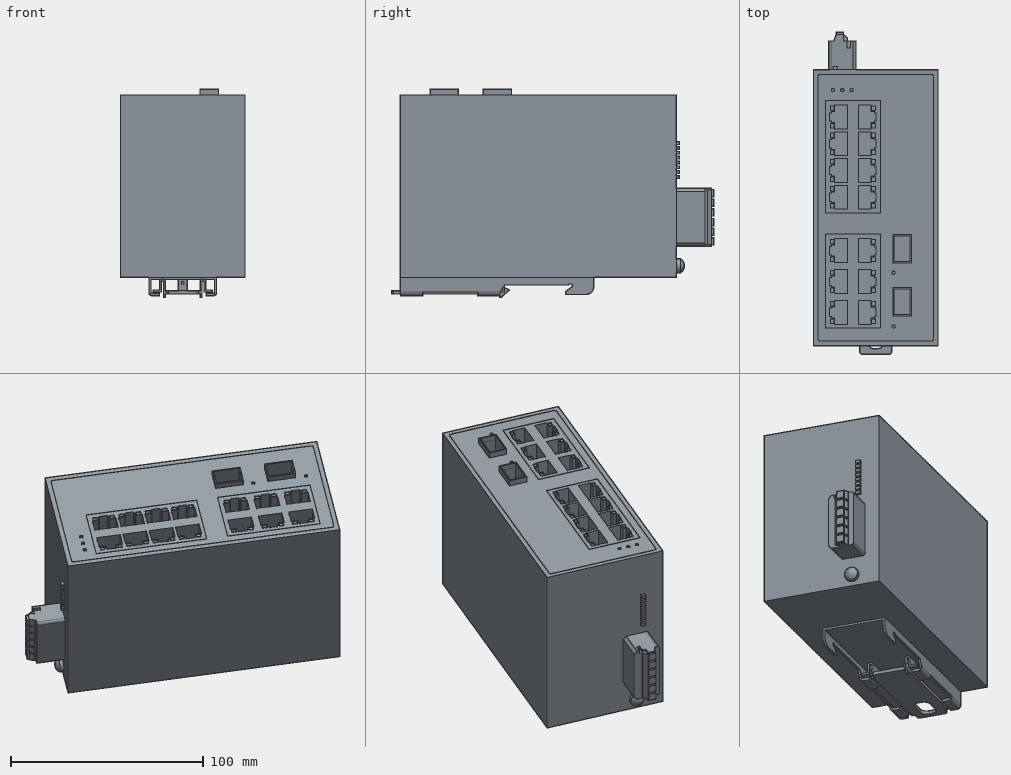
import cadquery as cq


WIDTH = 65.0
LENGTH = 143.6
HEIGHT = 94.7
PANEL_INSET = 2.5
PANEL_CORNER_R = 1.2
FACE_STEP = 0.2

COLUMN_X = -11.9
BLOCK_WIDTH = 28.5
PORT_DEPTH = 16.7
PORT_INNER = 2.8
PORT_SHOULDER = 9.5
PORT_MIDDLE = 11.2
PORT_OUTER = 12.0
PORT_HALF = 6.2
PORT_MIDDLE_HALF = 2.8
PORT_OUTER_HALF = 2.2
LAMP_X = 10.7
LAMP_Y = 4.5
LAMP_SIZE_X = 1.8
LAMP_SIZE_Y = 2.3
LAMP_DEPTH = 0.5
PORT_BLOCKS = [
    (69.1, 127.5, 98.1, 13.9, 4),
    (9.2, 58.0, 33.5, 16.0, 3),
]

CAGE_X = 13.7
CAGE_YS = (50.5, 23.0)
CAGE_WIDTH = 9.7
CAGE_LENGTH = 14.7
CAGE_RISE = 3.0
CAGE_WALL = 0.7
CAGE_DEPTH = 16.7
INDICATOR_D = 1.7
INDICATOR_DEPTH = 0.8
STATUS_PITCH = 4.9
STATUS_Y = 132.9
STATUS_MID_X = -17.4
CAGE_INDICATORS = [(9.2, 38.0), (9.2, 10.0)]
INDICATORS = [(STATUS_MID_X + i * STATUS_PITCH, STATUS_Y) for i in (-1, 0, 1)] + CAGE_INDICATORS

PLUG_X0 = -24.5
PLUG_X1 = -10.2
PLUG_Z0 = 16.0
PLUG_HEIGHT = 30.3
PLUG_END_Y = 158.5
PLUG_EDGE_R = 1.3
PLUG_CHAMFER = 1.7
RIDGE_END_Y = 161.9
RIDGE_FOOT_X0 = -21.6
RIDGE_TOP_X0 = -20.6
RIDGE_TOP_X1 = -16.7
RAMP_END_X = -14.5
RAMP_LOW_Y = 159.8
RAMP_INSET = 1.0
POLES = 6
POLE_PITCH = 5.0
TIP_HEIGHT = 3.8
TIP_END_Y = 163.0
SLOT_WIDTH = 0.8
SLOT_START_Y = 159.2
KEY_X = -14.0
KEY_WIDTH = 1.7
KEY_LENGTH = 3.7
KEY_DEPTH = 1.7

LEVER_COUNT = 8
LEVER_PITCH = 2.5
LEVER_X = -21.1
LEVER_MID_Z = 61.0
LEVER_WIDTH = 2.3
LEVER_HEIGHT = 1.5
LEVER_LENGTH = 1.7
SCREW_X = -17.4
SCREW_Z = 6.0
SCREW_R = 3.7
SCREW_RIM = 2.0
SCREW_RISE = 4.2

SHEET = 1.2
BRACKET_HALF = 17.5
BRACKET_START_Y = 0.2
HOOK_END_Y = 100.8
HOOK_Z = -9.0
HOOK_R = 4.4
HOOK_TIP_Y = 86.0
HOOK_TIP_Z = -7.4
HOOK_THROAT_Y = 89.4
HOOK_THROAT_Z = -4.9
RELIEF_Y = 87.7
RELIEF_Z = -3.5
RAIL_START_Y = 54.4
RAIL_TOP_Z = -4.0
SKIRT_Z = -7.5
SKIRT_END_Y = 52.0
FOOT_Z = -9.7
FOOT_LENGTH = 11.7
FOOT_INNER_X = 12.0
FOOT_HEIGHT = 1.5
FOOT_BEND_R = 2.0
POST_WIDTH = 4.9
POST_Y = 25.1
PIN_D = 1.5
PIN_Z = -2.8
PIN_LENGTH = 1.2

LATCH_BOTTOM_Z = -8.7
LATCH_SHEET = 1.8
LATCH_TOP_Z = -1.0
LATCH_LENGTH = 54.4
LEG_INNER_X = 9.0
LEG_OUTER_X = 12.0
LEG_SHEET = 1.09
RUNNER_X = 15.4
RUNNER_Z = -7.7
TAB_REACH = 4.4
TAB_HALF = 8.4
TAB_CORNER = 1.0
PULL_HALF = 4.4
PULL_Y0 = -1.3
PULL_Y1 = 13.4
PULL_R = 3.3
CATCH_BOTTOM_Z = -10.4
CATCH_TOP_Z = -5.4
CATCH_BACK_Y = 51.7
CATCH_FLAT = 1.0
CATCH_TIP_Y = 56.9
CATCH_TIP_Z = -6.5


def box(x0, x1, y0, y1, z0, z1):
    """Box between two opposite corners."""
    return cq.Workplane("XY").box(x1 - x0, y1 - y0, z1 - z0, centered=False).translate((x0, y0, z0))


def box_at(x, y, size_x, size_y, z0, z1):
    """Box centred on (x, y), from z0 to z1."""
    return box(x - size_x / 2, x + size_x / 2, y - size_y / 2, y + size_y / 2, z0, z1)


def both_sides(shape):
    """The shape together with its mirror image across X = 0."""
    return shape.union(shape.mirror("YZ"))


def port_cut(y, side):
    """Stepped port opening and its two lamp windows; side is -1 or 1 from the column mirror line."""
    steps = [
        (PORT_INNER, PORT_HALF),
        (PORT_SHOULDER, PORT_HALF),
        (PORT_SHOULDER, PORT_MIDDLE_HALF),
        (PORT_MIDDLE, PORT_MIDDLE_HALF),
        (PORT_MIDDLE, PORT_OUTER_HALF),
        (PORT_OUTER, PORT_OUTER_HALF),
    ]
    upper = [(COLUMN_X + side * dx, y + dy) for dx, dy in steps]
    lower = [(COLUMN_X + side * dx, y - dy) for dx, dy in reversed(steps)]
    cut = (
        cq.Workplane("XY").workplane(offset=HEIGHT - PORT_DEPTH)
        .polyline(upper + lower).close().extrude(PORT_DEPTH)
    )
    floor = HEIGHT - 2 * FACE_STEP - LAMP_DEPTH
    for end in (-1, 1):
        lamp_x = COLUMN_X + side * LAMP_X
        cut = cut.union(box_at(lamp_x, y + end * LAMP_Y, LAMP_SIZE_X, LAMP_SIZE_Y, floor, HEIGHT))
    return cut


def make_housing():
    body = box(-WIDTH / 2, WIDTH / 2, 0, LENGTH, 0, HEIGHT)
    panel = box_at(
        0, LENGTH / 2, WIDTH - 2 * PANEL_INSET, LENGTH - 2 * PANEL_INSET, HEIGHT - FACE_STEP, HEIGHT
    )
    body = body.cut(panel.edges("|Z").fillet(PANEL_CORNER_R))
    for y0, y1, mid_y, pitch, rows in PORT_BLOCKS:
        body = body.cut(
            box_at(COLUMN_X, (y0 + y1) / 2, BLOCK_WIDTH, y1 - y0, HEIGHT - 2 * FACE_STEP, HEIGHT)
        )
        for row in range(rows):
            y = mid_y + (row - (rows - 1) / 2) * pitch
            for side in (-1, 1):
                body = body.cut(port_cut(y, side))
    indicators = (
        cq.Workplane("XY").workplane(offset=HEIGHT - FACE_STEP - INDICATOR_DEPTH)
        .pushPoints(INDICATORS).circle(INDICATOR_D / 2).extrude(INDICATOR_DEPTH + FACE_STEP)
    )
    return body.cut(indicators)


def add_cages(body):
    top = HEIGHT + CAGE_RISE
    for y in CAGE_YS:
        body = body.union(box_at(CAGE_X, y, CAGE_WIDTH, CAGE_LENGTH, HEIGHT - CAGE_DEPTH, top))
        inner_width = CAGE_WIDTH - 2 * CAGE_WALL
        inner_length = CAGE_LENGTH - 2 * CAGE_WALL
        body = body.cut(box_at(CAGE_X, y, inner_width, inner_length, HEIGHT - CAGE_DEPTH, top))
    return body


def make_plug():
    top = PLUG_Z0 + PLUG_HEIGHT
    mid_z = PLUG_Z0 + PLUG_HEIGHT / 2
    plug = box(PLUG_X0, PLUG_X1, LENGTH, PLUG_END_Y, PLUG_Z0, top)
    plug = plug.edges("|Y and <X").fillet(PLUG_EDGE_R).edges("|Y and >X").chamfer(PLUG_CHAMFER)
    ridge_outline = [
        (RIDGE_FOOT_X0, PLUG_END_Y),
        (RIDGE_FOOT_X0, SLOT_START_Y),
        (RIDGE_TOP_X0, RIDGE_END_Y),
        (RIDGE_TOP_X1, RIDGE_END_Y),
        (RIDGE_TOP_X1, PLUG_END_Y),
    ]
    ramp_outline = [
        (RIDGE_TOP_X1, PLUG_END_Y),
        (RIDGE_TOP_X1, RIDGE_END_Y),
        (RAMP_END_X, RAMP_LOW_Y),
        (RAMP_END_X, PLUG_END_Y),
    ]
    ridge = (
        cq.Workplane("XY").workplane(offset=PLUG_Z0)
        .polyline(ridge_outline).close().extrude(PLUG_HEIGHT)
    )
    ramp = (
        cq.Workplane("XY").workplane(offset=PLUG_Z0 + RAMP_INSET)
        .polyline(ramp_outline).close().extrude(PLUG_HEIGHT - 2 * RAMP_INSET)
    )
    plug = plug.union(ridge).union(ramp)
    for i in range(POLES - 1):
        z = mid_z + (i - (POLES - 2) / 2) * POLE_PITCH
        plug = plug.cut(
            box(PLUG_X0, RIDGE_TOP_X0, SLOT_START_Y, RIDGE_END_Y, z - SLOT_WIDTH / 2, z + SLOT_WIDTH / 2)
        )
    for i in range(POLES):
        z = mid_z + (i - (POLES - 1) / 2) * POLE_PITCH
        plug = plug.union(
            box(RIDGE_TOP_X0, RIDGE_TOP_X1, RIDGE_END_Y, TIP_END_Y, z - TIP_HEIGHT / 2, z + TIP_HEIGHT / 2)
        )
    key_y = PLUG_END_Y - KEY_LENGTH / 2
    return plug.cut(box_at(KEY_X, key_y, KEY_WIDTH, KEY_LENGTH, top - KEY_DEPTH, top))


def make_levers():
    levers = cq.Workplane("XY")
    for i in range(LEVER_COUNT):
        z = LEVER_MID_Z + (i - (LEVER_COUNT - 1) / 2) * LEVER_PITCH
        levers = levers.union(
            box_at(LEVER_X, LENGTH + LEVER_LENGTH / 2, LEVER_WIDTH, LEVER_LENGTH,
                   z - LEVER_HEIGHT / 2, z + LEVER_HEIGHT / 2)
        )
    return levers


def make_screw():
    """Domed head, revolved about its own axis along Y."""
    cap_height = SCREW_RISE - SCREW_RIM
    cap_r = (SCREW_R ** 2 + cap_height ** 2) / (2 * cap_height)
    head = (
        cq.Workplane("XY").lineTo(SCREW_R, 0).lineTo(SCREW_R, SCREW_RIM)
        .radiusArc((0, SCREW_RISE), -cap_r).close()
        .revolve(360, (0, 0, 0), (0, 1, 0))
    )
    return head.translate((SCREW_X, LENGTH, SCREW_Z))


def make_bracket():
    web = box(-BRACKET_HALF, BRACKET_HALF, BRACKET_START_Y, HOOK_END_Y, -SHEET, 0)
    wall = (
        cq.Workplane("YZ").moveTo(BRACKET_START_Y, 0).lineTo(HOOK_END_Y, 0)
        .lineTo(HOOK_END_Y, HOOK_Z + HOOK_R)
        .radiusArc((HOOK_END_Y - HOOK_R, HOOK_Z), HOOK_R)
        .lineTo(HOOK_TIP_Y, HOOK_Z)
        .lineTo(HOOK_TIP_Y, HOOK_TIP_Z)
        .lineTo(HOOK_THROAT_Y, HOOK_THROAT_Z)
        .lineTo(HOOK_THROAT_Y, RELIEF_Z)
        .lineTo(RELIEF_Y, RELIEF_Z)
        .lineTo(RELIEF_Y, RAIL_TOP_Z)
        .lineTo(RAIL_START_Y, RAIL_TOP_Z)
        .lineTo(SKIRT_END_Y, SKIRT_Z)
        .lineTo(BRACKET_START_Y, SKIRT_Z)
        .close()
        .extrude(SHEET).translate((BRACKET_HALF - SHEET, 0, 0))
    )
    for y0 in (BRACKET_START_Y, SKIRT_END_Y - FOOT_LENGTH):
        y1 = y0 + FOOT_LENGTH
        foot = box(FOOT_INNER_X, BRACKET_HALF, y0, y1, FOOT_Z, FOOT_Z + FOOT_HEIGHT)
        foot = foot.union(box(BRACKET_HALF - SHEET, BRACKET_HALF, y0, y1, FOOT_Z, SKIRT_Z))
        wall = wall.union(foot.edges("|Y and >X and <Z").fillet(FOOT_BEND_R))
    post = box_at(0, POST_Y, POST_WIDTH, SHEET, LATCH_BOTTOM_Z + LATCH_SHEET, 0)
    pin = cq.Workplane("XZ").center(0, PIN_Z).circle(PIN_D / 2).extrude(PIN_LENGTH + SHEET)
    return both_sides(wall).union(web).union(post).union(pin.translate((0, POST_Y, 0)))


def make_latch():
    plate_top = LATCH_BOTTOM_Z + LATCH_SHEET
    plate = box(-LEG_INNER_X, LEG_INNER_X, 0, LATCH_LENGTH, LATCH_BOTTOM_Z, plate_top)
    tab = box(-TAB_HALF, TAB_HALF, -TAB_REACH, 0, LATCH_BOTTOM_Z, plate_top)
    plate = plate.union(tab.edges("|Z and <Y").chamfer(TAB_CORNER))
    pull = box(-PULL_HALF, PULL_HALF, PULL_Y0, PULL_Y1, LATCH_BOTTOM_Z, plate_top)
    plate = plate.cut(pull.edges("|Z").fillet(PULL_R))
    leg = box(LEG_INNER_X, LEG_OUTER_X, 0, LATCH_LENGTH, LATCH_BOTTOM_Z, LATCH_TOP_Z)
    leg = leg.edges("|Y and >Z").fillet(LEG_SHEET)
    fold_top = LATCH_TOP_Z - LEG_SHEET
    leg = leg.cut(
        box(LEG_INNER_X + LEG_SHEET, LEG_OUTER_X - LEG_SHEET, 0, LATCH_LENGTH, LATCH_BOTTOM_Z, fold_top)
    )
    leg = leg.cut(box(LEG_OUTER_X - LEG_SHEET, LEG_OUTER_X, 0, LATCH_LENGTH, LATCH_BOTTOM_Z, RUNNER_Z))
    runner = box(LEG_OUTER_X - LEG_SHEET, RUNNER_X, 0, LATCH_LENGTH, RUNNER_Z, RUNNER_Z + SHEET)
    catch = (
        cq.Workplane("YZ")
        .moveTo(CATCH_BACK_Y, CATCH_TOP_Z)
        .lineTo(CATCH_BACK_Y, CATCH_BOTTOM_Z)
        .lineTo(CATCH_BACK_Y + CATCH_FLAT, CATCH_BOTTOM_Z)
        .lineTo(CATCH_TIP_Y, CATCH_TIP_Z)
        .lineTo(LATCH_LENGTH, CATCH_TOP_Z)
        .close()
        .extrude(LEG_SHEET).translate((LEG_INNER_X, 0, 0))
    )
    return both_sides(leg.union(runner).union(catch)).union(plate)


result = (
    add_cages(make_housing())
    .union(make_plug())
    .union(make_levers())
    .union(make_screw())
    .union(make_bracket())
    .union(make_latch())
)